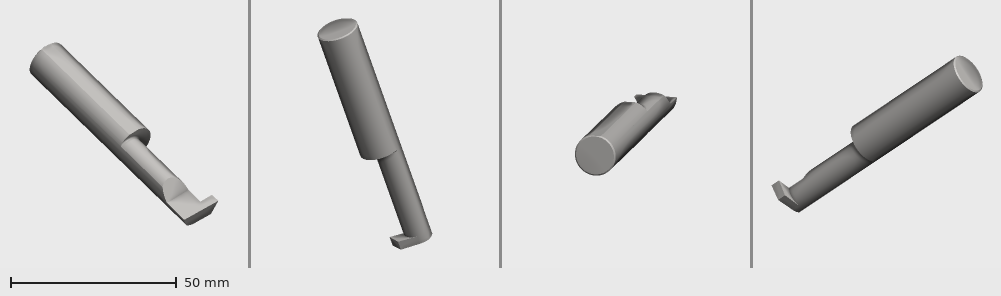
import cadquery as cq
import math

overall_length = 76.2
shank_radius = 6.35
shank_length = 43.2
flat_height = 6.1
rear_chamfer_length = 0.3
rear_chamfer_depth = 0.45

neck_radius = 4.445
neck_center_y = -2.54
shoulder_fillet = 0.5

head_length = 8.95
ramp_angle = 45.0
tooth_width = 3.1
tooth_flank_angle = 31.0
end_relief_angle = 2.3
end_clearance_angle = 1.5

head_start_x = overall_length - head_length
tooth_start_x = overall_length - tooth_width


def make_shank():
    bar = cq.Workplane("YZ").circle(shank_radius).extrude(shank_length)
    rear_edge = bar.faces("<X").edges()
    bar = rear_edge.chamfer(rear_chamfer_length, rear_chamfer_depth)
    flat_cutter = (
        cq.Workplane("XY", origin=(0, 0, flat_height))
        .rect(2 * overall_length, 2 * shank_radius)
        .extrude(shank_radius)
    )
    return bar.cut(flat_cutter)


def make_neck():
    cross_y = (neck_radius**2 - shank_radius**2 - neck_center_y**2) / (-2 * neck_center_y)
    cross_z = math.sqrt(shank_radius**2 - cross_y**2)
    crown_angle = math.atan2(cross_z, cross_y - neck_center_y)
    crown_middle_angle = (math.pi / 2 + crown_angle) / 2
    crown_middle = (
        neck_center_y + neck_radius * math.cos(crown_middle_angle),
        neck_radius * math.sin(crown_middle_angle),
    )
    return (
        cq.Workplane("YZ", origin=(shank_length, 0, 0))
        .moveTo(cross_y, -cross_z)
        .threePointArc((neck_center_y + neck_radius, 0), (neck_center_y, neck_radius))
        .threePointArc(crown_middle, (cross_y, cross_z))
        .threePointArc((-shank_radius, 0), (cross_y, -cross_z))
        .close()
        .extrude(overall_length - shank_length)
    )


def round_shoulder(body):
    clearance = 0.01
    corner_box = cq.selectors.BoxSelector(
        (shank_length - clearance, neck_center_y - neck_radius, -neck_radius - clearance),
        (shank_length + clearance, neck_center_y + neck_radius, neck_radius + clearance),
        boundingbox=True,
    )
    return body.edges(corner_box).fillet(shoulder_fillet)


def make_tooth():
    tooth_depth = neck_radius
    flank_run = tooth_depth * math.tan(math.radians(tooth_flank_angle))
    return (
        cq.Workplane("YZ", origin=(tooth_start_x, 0, 0))
        .moveTo(neck_center_y, 0)
        .lineTo(shank_radius, 0)
        .lineTo(shank_radius - flank_run, -tooth_depth)
        .lineTo(neck_center_y, -tooth_depth)
        .close()
        .extrude(tooth_width)
    )


def make_head_cutter():
    ramp_run = shank_radius / math.tan(math.radians(ramp_angle))
    return (
        cq.Workplane("XZ")
        .moveTo(head_start_x, 0)
        .lineTo(overall_length, 0)
        .lineTo(overall_length, shank_radius)
        .lineTo(head_start_x - ramp_run, shank_radius)
        .close()
        .extrude(shank_radius, both=True)
    )


def make_end_relief_cutter():
    size = 4 * shank_radius
    block = cq.Workplane("XY").box(size, size, size, centered=(False, True, True))
    block = block.rotate((0, 0, 0), (0, 0, 1), -end_relief_angle)
    block = block.rotate((0, 0, 0), (0, 1, 0), end_clearance_angle)
    return block.translate((overall_length, shank_radius, 0))


body = round_shoulder(make_shank().union(make_neck()))
result = body.cut(make_head_cutter()).union(make_tooth()).cut(make_end_relief_cutter())